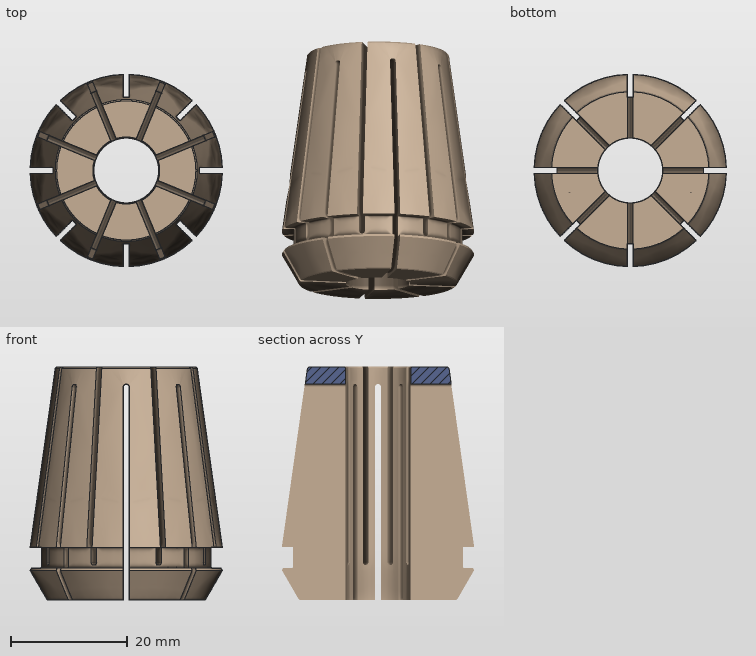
import cadquery as cq
import math

total_length = 40.0
body_diameter = 33.0
bore_diameter = 11.11
bore_chamfer = 0.2

taper_angle = 8.0
taper_base_z = 9.05
top_chamfer = 0.25

groove_diameter = 29.1
groove_fillet = 0.15

nose_angle = 30.0
nose_edge_z = 5.1
nose_top_z = 5.5
nose_chamfer = 0.25
bottom_chamfer = 0.15

slots_per_end = 8
slot_width = 1.0
slot_corner_radius = 0.45
nose_slot_end_z = 37.0
top_slot_end_z = 6.0
slot_overrun = 1.0

body_radius = body_diameter / 2
bore_radius = bore_diameter / 2
groove_radius = groove_diameter / 2


def taper_radius(z):
    """Radius of the upper taper at height z."""
    return body_radius - (z - taper_base_z) * math.tan(math.radians(taper_angle))


def nose_radius(z):
    """Radius of the nose cone at height z."""
    return body_radius - (nose_edge_z - z) * math.tan(math.radians(nose_angle))


def make_collet_blank():
    """Turned collet with its bore, before slotting."""
    top_shoulder_z = total_length - top_chamfer
    top_shoulder_radius = taper_radius(top_shoulder_z)
    arc_offset = groove_fillet * (1 - math.sqrt(0.5))

    return (
        cq.Workplane("XZ")
        .moveTo(bore_radius, 0)
        .lineTo(nose_radius(bottom_chamfer) - bottom_chamfer, 0)
        .lineTo(nose_radius(bottom_chamfer), bottom_chamfer)
        .lineTo(body_radius, nose_edge_z)
        .lineTo(body_radius - nose_chamfer, nose_top_z)
        .lineTo(groove_radius + groove_fillet, nose_top_z)
        .threePointArc(
            (groove_radius + arc_offset, nose_top_z + arc_offset),
            (groove_radius, nose_top_z + groove_fillet),
        )
        .lineTo(groove_radius, taper_base_z - groove_fillet)
        .threePointArc(
            (groove_radius + arc_offset, taper_base_z - arc_offset),
            (groove_radius + groove_fillet, taper_base_z),
        )
        .lineTo(body_radius, taper_base_z)
        .lineTo(top_shoulder_radius, top_shoulder_z)
        .lineTo(top_shoulder_radius - top_chamfer, total_length)
        .lineTo(bore_radius + bore_chamfer, total_length)
        .lineTo(bore_radius, total_length - bore_chamfer)
        .close()
        .revolve(360, (0, 0, 0), (0, 1, 0))
    )


def make_slot(open_z, end_z, angle):
    """Cutter for one radial slot from the axis outward, with rounded corners at end_z."""
    end_face = ">Z" if end_z > open_z else "<Z"
    return (
        cq.Workplane("XY")
        .box(body_radius + slot_overrun, slot_width, abs(open_z - end_z), centered=(False, True, False))
        .faces(end_face)
        .edges("|X")
        .fillet(slot_corner_radius)
        .translate((0, 0, min(open_z, end_z)))
        .rotate((0, 0, 0), (0, 0, 1), angle)
    )


def cut_slots(collet):
    """Cut the nose slots and, midway between them, the top slots."""
    pitch = 360 / slots_per_end
    for index in range(slots_per_end):
        nose_slot_angle = index * pitch
        top_slot_angle = nose_slot_angle + pitch / 2
        collet = collet.cut(make_slot(-slot_overrun, nose_slot_end_z, nose_slot_angle))
        collet = collet.cut(make_slot(total_length + slot_overrun, top_slot_end_z, top_slot_angle))
    return collet


result = cut_slots(make_collet_blank())